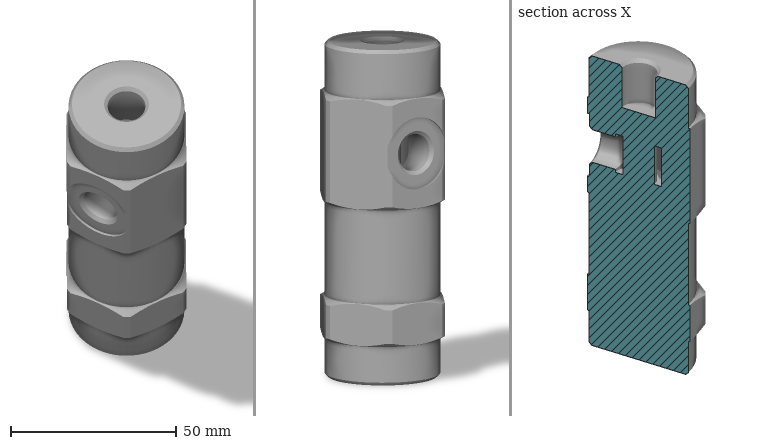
import cadquery as cq
import math

length = 103.0
body_diameter = 35.0
end_chamfer = 1.0

across_flats = 36.0
corner_diameter = 40.5
bevel_diameter = 35.6
bevel_angle = 30.0
nut_base = 12.0
nut_height = 13.1
block_base = 54.0
block_height = 34.0

port_diameter = 11.4
port_mouth_diameter = 13.5
top_port_depth = 15.0
spot_face_diameter = 22.0
spot_face_depth = 0.7

chamber_diameter = 16.0
pin_diameter = 11.2
chamber_height = 13.5

side_port_z = block_base + block_height / 2
mouth_chamfer = (port_mouth_diameter - port_diameter) / 2


def hex_collar(base, height):
    """Hexagonal prism with flats facing +Y and -Y, trimmed by a bevelled disc."""
    hex_diameter = across_flats / math.cos(math.radians(30))
    prism = cq.Workplane("XY").workplane(offset=base).polygon(6, hex_diameter).extrude(height)
    rim = corner_diameter / 2
    shoulder = bevel_diameter / 2
    drop = (rim - shoulder) * math.tan(math.radians(bevel_angle))
    disc = (
        cq.Workplane("XZ")
        .moveTo(0, base)
        .lineTo(shoulder, base)
        .lineTo(rim, base + drop)
        .lineTo(rim, base + height - drop)
        .lineTo(shoulder, base + height)
        .lineTo(0, base + height)
        .close()
        .revolve(360, (0, 0, 0), (0, 1, 0))
    )
    return prism.intersect(disc)


def port(depth):
    """Cutter for a flat-bottomed port: mouth at the origin, running along -Z."""
    bore = cq.Workplane("XY").circle(port_diameter / 2).extrude(-depth)
    mouth = (
        cq.Workplane("XY")
        .circle(port_mouth_diameter / 2)
        .extrude(-mouth_chamfer, taper=45)
    )
    return bore.union(mouth)


def side_port():
    """Cutter for the spot face, side port and annular chamber, leaving the pin."""
    flat = across_flats / 2
    floor = flat - spot_face_depth
    spot_face = (
        cq.Workplane("XZ", origin=(0, -floor, side_port_z))
        .circle(spot_face_diameter / 2)
        .extrude(corner_diameter / 2 - floor)
    )
    bore = port(floor).rotate((0, 0, 0), (1, 0, 0), 90).translate((0, -floor, side_port_z))
    chamber_base = side_port_z - chamber_height / 2
    plane = cq.Workplane("XY").workplane(offset=chamber_base)
    chamber = plane.circle(chamber_diameter / 2).extrude(chamber_height)
    pin = plane.circle(pin_diameter / 2).extrude(chamber_height)
    return bore.union(chamber).cut(pin).union(spot_face)


body = cq.Workplane("XY").circle(body_diameter / 2).extrude(length)
body = body.faces("<Z or >Z").chamfer(end_chamfer)
body = body.union(hex_collar(nut_base, nut_height))
body = body.union(hex_collar(block_base, block_height))

result = body.cut(port(top_port_depth).translate((0, 0, length))).cut(side_port())